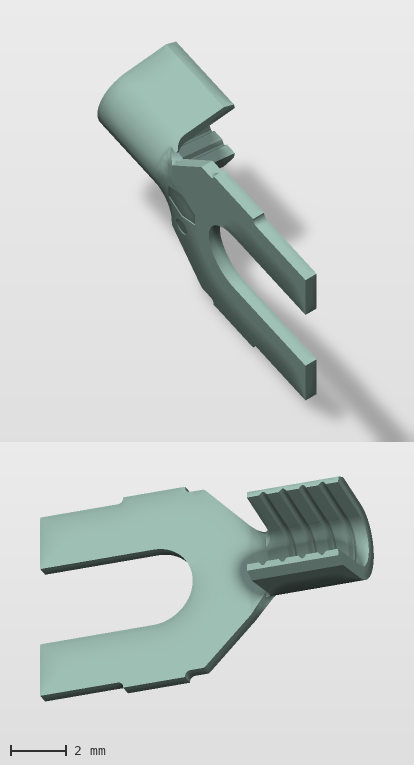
import cadquery as cq
import math

length = 12.7
thickness = 0.5
barrel_length = 3.53
cut_margin = 0.13
plate_start = 4.56

prong_half = 3.58
shoulder_half = 1.78
shoulder_end = plate_start + (prong_half - shoulder_half)
tab_half = 3.82
tab_start = 7.1
tab_end = 9.5
tab_fillet = 0.2
shoulder_fillet = 0.15
slot_radius = 1.51
slot_bottom = 6.81

outer_radius = 1.5
inner_radius = outer_radius - thickness
arm_angle = math.radians(9.0)
barrel_height = 3.55
tip_chamfer_long = 0.42
tip_chamfer_short = 0.25

groove_count = 4
groove_pitch = 0.76
groove_width = 0.3
groove_floor = 0.08
groove_depth = 0.13

neck_angle = math.radians(58.0)
web_length = 0.33
web_drop = 0.48
web_radius = 0.64

mark_x = 5.14
mark_depth = 0.05
mark_half_width = 0.8
mark_half_height = 0.65
mark_side_half = 0.32
dimple_radius = 0.33
dimple_z = -1.26


def plate():
    """Flat fork with 45 degree shoulders, side tabs and an open round-bottomed slot."""
    upper = [
        (plate_start, shoulder_half),
        (shoulder_end, prong_half),
        (tab_start, prong_half),
        (tab_start, tab_half),
        (tab_end, tab_half),
        (tab_end, prong_half),
        (length, prong_half),
    ]
    lower = [(x, -z) for x, z in reversed(upper)]
    body = cq.Workplane("XZ").polyline(upper + lower).close().extrude(-thickness)
    rounded_corners = [
        (shoulder_end, shoulder_fillet),
        (tab_start, tab_fillet),
        (tab_end, tab_fillet),
    ]
    for x, radius in rounded_corners:
        for z in (prong_half, -prong_half):
            corner = cq.selectors.NearestToPointSelector((x, thickness / 2, z))
            body = body.edges(corner).fillet(radius)
    slot_centre = slot_bottom + slot_radius
    slot = (
        cq.Workplane("XZ")
        .moveTo(length, slot_radius)
        .lineTo(slot_centre, slot_radius)
        .threePointArc((slot_bottom, 0), (slot_centre, -slot_radius))
        .lineTo(length, -slot_radius)
        .close()
        .extrude(-thickness)
    )
    return body.cut(slot)


def arm_point(radius, along):
    """(Y, Z) on the upper arm, at a distance along it from where the bend of this radius ends."""
    y = outer_radius - radius * math.sin(arm_angle) + along * math.cos(arm_angle)
    z = radius * math.cos(arm_angle) + along * math.sin(arm_angle)
    return y, z


def mirrored(point):
    return point[0], -point[1]


arm_length = (barrel_height - arm_point(inner_radius, 0)[0]) / math.cos(arm_angle)


def barrel_blank():
    """Open U channel along X with chamfered outer tips, run on past the barrel end for the webs."""
    outer_upper = [
        arm_point(outer_radius, 0),
        arm_point(outer_radius, arm_length - tip_chamfer_long),
        arm_point(outer_radius - tip_chamfer_short, arm_length),
        arm_point(inner_radius, arm_length),
        arm_point(inner_radius, 0),
    ]
    sketch = cq.Workplane("YZ").moveTo(*outer_upper[0])
    for point in outer_upper[1:]:
        sketch = sketch.lineTo(*point)
    sketch = sketch.threePointArc((thickness, 0), mirrored(outer_upper[-1]))
    for point in reversed(outer_upper[:-1]):
        sketch = sketch.lineTo(*mirrored(point))
    return sketch.threePointArc((0, 0), outer_upper[0]).close().extrude(barrel_length + web_length)


def web_clearance():
    """Space beyond the barrel end, above the concave webs that run down to the neck."""
    top = arm_point(outer_radius, 0)[0]
    end = barrel_length + web_length
    return (
        cq.Workplane("XY", origin=(0, 0, -barrel_height))
        .moveTo(barrel_length, barrel_height + cut_margin)
        .lineTo(barrel_length, top)
        .radiusArc((end, top - web_drop), -web_radius)
        .lineTo(end + cut_margin, top - web_drop)
        .lineTo(end + cut_margin, barrel_height + cut_margin)
        .close()
        .extrude(2 * barrel_height)
    )


def cavity_wire(x, depth):
    """Closed outline of the barrel cavity enlarged by a depth, extended past the arm tips."""
    radius = inner_radius + depth
    start = arm_point(radius, 0)
    end = arm_point(radius, 2 * arm_length)
    return (
        cq.Workplane("YZ", origin=(x, 0, 0))
        .moveTo(*end)
        .lineTo(*start)
        .threePointArc((outer_radius - radius, 0), mirrored(start))
        .lineTo(*mirrored(end))
        .close()
        .val()
    )


def groove(centre):
    """Tapered groove that follows the inside of the U."""
    stations = [
        (-groove_width / 2, 0),
        (-groove_floor / 2, groove_depth),
        (groove_floor / 2, groove_depth),
        (groove_width / 2, 0),
    ]
    wires = [cavity_wire(centre + offset, depth) for offset, depth in stations]
    return cq.Workplane(cq.Solid.makeLoft(wires, True))


def barrel():
    body = barrel_blank().cut(web_clearance())
    first = (barrel_length - (groove_count - 1) * groove_pitch) / 2
    for index in range(groove_count):
        body = body.cut(groove(first + index * groove_pitch))
    return body


def neck():
    """Ruled transition from the bottom of the U to the flat plate."""
    def bend_point(radius):
        return outer_radius - radius * math.cos(neck_angle), radius * math.sin(neck_angle)

    outer = bend_point(outer_radius)
    inner = bend_point(inner_radius)
    bend = (
        cq.Workplane("YZ", origin=(barrel_length, 0, 0))
        .moveTo(*outer)
        .lineTo(*inner)
        .threePointArc((thickness, 0), mirrored(inner))
        .lineTo(*mirrored(outer))
        .threePointArc((0, 0), outer)
        .close()
        .val()
    )
    flat = (
        cq.Workplane("YZ", origin=(plate_start, 0, 0))
        .moveTo(0, shoulder_half)
        .lineTo(thickness, shoulder_half)
        .lineTo(thickness, -shoulder_half)
        .lineTo(0, -shoulder_half)
        .close()
        .val()
    )
    return cq.Workplane(cq.Solid.makeLoft([bend, flat], True))


def shallow_marks():
    """Round and hexagonal recesses in the -Y face."""
    hexagon = [
        (0, mark_half_height),
        (mark_half_width, mark_side_half),
        (mark_half_width, -mark_side_half),
        (0, -mark_half_height),
        (-mark_half_width, -mark_side_half),
        (-mark_half_width, mark_side_half),
    ]
    face = cq.Workplane("XZ", origin=(mark_x, 0, 0))
    hex_recess = face.polyline(hexagon).close().extrude(-mark_depth)
    round_recess = face.center(0, dimple_z).circle(dimple_radius).extrude(-mark_depth)
    return hex_recess.union(round_recess)


result = barrel().union(neck()).union(plate()).cut(shallow_marks())